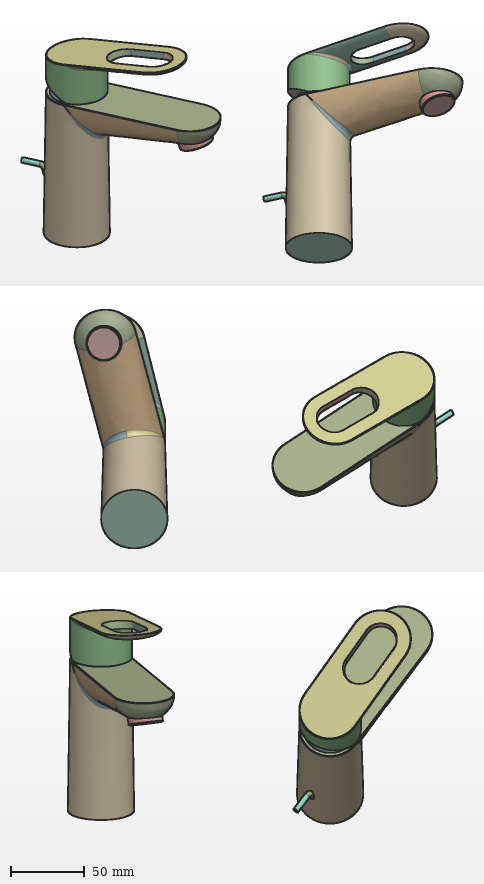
import cadquery as cq
import math

BASE_DIAMETER = 45.0
BASE_RADIUS = BASE_DIAMETER / 2
TOP_RADIUS = 21.0
DECK_Z = 107.0
SPOUT_TIP_CENTER_X = 84.8
SPOUT_ROOT_DEPTH = 28.0
SPOUT_TIP_DEPTH = 17.5
SPOUT_FILLET = 3.7
EDGE_CHAMFER = 0.5

AERATOR_RADIUS = 11.8
AERATOR_LENGTH = 8.1
AERATOR_CHAMFER = 0.7
AERATOR_TILT = 20.0
AERATOR_FACE_X = 90.0
AERATOR_FACE_Z = 87.6

HANDLE_TOP_Z = 137.8
HANDLE_TILT = 7.1
CAP_GAP = 1.2
CAP_BOTTOM_Z = DECK_Z + CAP_GAP
CAP_REAR_Z = 119.5
CAP_RELIEF_START_X = 2.0
LEVER_TIP_CENTER = 59.7
LEVER_DEPTH = 5.2
LEVER_FILLET = 2.2
SLOT_CENTER = 47.5
SLOT_LENGTH = 47.3
SLOT_WIDTH = 22.7
SLOT_DRAFT = 8.0
BALL_RADIUS = 19.8
BALL_DROP = 7.5

ROD_DIAMETER = 4.0
ROD_RADIUS = ROD_DIAMETER / 2
ROD_Z = 45.8
ROD_END_X = -40.8
ROD_BEND_X = -27.3
ROD_BEND_DIAMETER = 7.0
ROD_BEND_RADIUS = ROD_BEND_DIAMETER / 2
ROD_LEG_TILT = 18.0
ROD_LEG_LENGTH = 26.6

BOX_SIZE = 295.4
SEAM_MARGIN = 1.5


def half_ellipse(x, half_width, depth):
    """Wire in a plane of constant x: a flat top at z = 0 and an elliptic belly below."""
    flat = cq.Edge.makeLine(cq.Vector(x, half_width, 0), cq.Vector(x, -half_width, 0))
    belly_plane = cq.Plane(origin=(x, 0, 0), xDir=(0, 1, 0), normal=(-1, 0, 0))
    belly = cq.Workplane(belly_plane).ellipseArc(
        half_width, depth, 0, 180, startAtCurrent=False
    )
    return cq.Wire.assembleEdges([flat, belly.val()])


def bellied_arm(length, half_width, root_depth, tip_depth):
    """Arm along +X with a flat top at z = 0, an elliptic belly and a rounded tip."""
    root = half_ellipse(0, half_width, root_depth)
    end = half_ellipse(length, half_width, tip_depth)
    beam = cq.Workplane(cq.Solid.makeLoft([root, end], True))
    quarter_ball = (
        cq.Workplane("XY")
        .moveTo(0, -half_width)
        .threePointArc((half_width, 0), (0, half_width))
        .close()
        .revolve(90, (0, 0), (0, 1))
    )
    flatten = cq.Matrix([[1, 0, 0, length], [0, 1, 0, 0], [0, 0, tip_depth / half_width, 0]])
    tip = quarter_ball.val().transformGeometry(flatten)
    return beam.union(cq.Workplane(tip))


def beveled_top(length):
    """Thin stadium plate with its upper edge beveled, covering an arm and its column."""
    outline = cq.Workplane("XY").center(length / 2, 0).slot2D(length + 2 * TOP_RADIUS, 2 * TOP_RADIUS)
    return outline.extrude(EDGE_CHAMFER, taper=45)


def make_rod():
    turn = math.radians(90 - ROD_LEG_TILT)
    half_turn = turn / 2
    bend_center_z = ROD_Z - ROD_BEND_RADIUS

    def bend_point(angle):
        return (
            ROD_BEND_X + ROD_BEND_RADIUS * math.sin(angle),
            bend_center_z + ROD_BEND_RADIUS * math.cos(angle),
        )

    leg_x, leg_z = bend_point(turn)
    path = (
        cq.Workplane("XZ")
        .moveTo(ROD_END_X, ROD_Z)
        .lineTo(ROD_BEND_X, ROD_Z)
        .threePointArc(bend_point(half_turn), (leg_x, leg_z))
        .lineTo(leg_x + ROD_LEG_LENGTH * math.cos(turn), leg_z - ROD_LEG_LENGTH * math.sin(turn))
    )
    return cq.Workplane("YZ", origin=(ROD_END_X, 0, ROD_Z)).circle(ROD_RADIUS).sweep(path)


def make_aerator():
    tilt = math.radians(AERATOR_TILT)
    axis = (-math.sin(tilt), 0, math.cos(tilt))
    face = cq.Plane(origin=(AERATOR_FACE_X, 0, AERATOR_FACE_Z), xDir=(0, 1, 0), normal=axis)
    outlet = cq.Workplane(face).circle(AERATOR_RADIUS).extrude(AERATOR_LENGTH)
    outer_face = cq.selectors.DirectionMinMaxSelector(cq.Vector(axis), False)
    return outlet.faces(outer_face).chamfer(AERATOR_CHAMFER)


def make_housing(rod):
    shoulder_z = DECK_Z - EDGE_CHAMFER
    column = cq.Workplane(cq.Solid.makeCone(BASE_RADIUS, TOP_RADIUS, shoulder_z))
    spout = bellied_arm(SPOUT_TIP_CENTER_X, TOP_RADIUS, SPOUT_ROOT_DEPTH, SPOUT_TIP_DEPTH)
    housing = column.union(spout.translate((0, 0, shoulder_z)))
    seam_box = cq.selectors.BoxSelector(
        (SEAM_MARGIN, -BASE_RADIUS, DECK_Z / 2), (BASE_RADIUS, BASE_RADIUS, DECK_Z - SEAM_MARGIN)
    )
    housing = housing.edges(seam_box).fillet(SPOUT_FILLET)
    deck = beveled_top(SPOUT_TIP_CENTER_X).translate((0, 0, shoulder_z))
    return housing.union(deck).union(make_aerator()).cut(rod)


def tilt_to_handle_top(shape):
    """Move a shape from z = 0 onto the inclined top plane of the handle."""
    return shape.rotate((0, 0, 0), (0, 1, 0), -HANDLE_TILT).translate((0, 0, HANDLE_TOP_Z))


def make_handle():
    tilt = math.radians(HANDLE_TILT)
    shoulder_z = HANDLE_TOP_Z - EDGE_CHAMFER / math.cos(tilt)
    rise = math.tan(tilt) * TOP_RADIUS
    cap_side = (
        cq.Workplane("XZ")
        .moveTo(-TOP_RADIUS, CAP_REAR_Z)
        .lineTo(CAP_RELIEF_START_X, CAP_BOTTOM_Z)
        .lineTo(TOP_RADIUS, CAP_BOTTOM_Z)
        .lineTo(TOP_RADIUS, shoulder_z + rise)
        .lineTo(-TOP_RADIUS, shoulder_z - rise)
        .close()
        .extrude(TOP_RADIUS, both=True)
    )
    cap = cq.Workplane("XY").circle(TOP_RADIUS).extrude(HANDLE_TOP_Z + rise).intersect(cap_side)
    lever = bellied_arm(LEVER_TIP_CENTER, TOP_RADIUS, LEVER_DEPTH, LEVER_DEPTH)
    handle = cap.union(tilt_to_handle_top(lever.translate((0, 0, -EDGE_CHAMFER))))
    seam_box = cq.selectors.BoxSelector(
        (SEAM_MARGIN, -TOP_RADIUS, CAP_REAR_Z), (TOP_RADIUS, TOP_RADIUS, HANDLE_TOP_Z - SEAM_MARGIN)
    )
    handle = handle.edges(seam_box).fillet(LEVER_FILLET)
    top = beveled_top(LEVER_TIP_CENTER).translate((0, 0, -EDGE_CHAMFER))
    handle = handle.union(tilt_to_handle_top(top))

    slot = cq.Workplane("XY").center(SLOT_CENTER, 0).slot2D(SLOT_LENGTH, SLOT_WIDTH)
    slot = slot.extrude(-2 * LEVER_DEPTH, taper=SLOT_DRAFT)
    handle = handle.cut(tilt_to_handle_top(slot))

    ball = cq.Workplane("XY").sphere(BALL_RADIUS).translate((0, 0, DECK_Z - BALL_DROP))
    above_deck = cq.Workplane("XY", origin=(0, 0, DECK_Z)).rect(BOX_SIZE, BOX_SIZE).extrude(BOX_SIZE)
    return handle.union(ball.intersect(above_deck))


pull_rod = make_rod()
housing = make_housing(pull_rod)
handle = make_handle()

result = cq.Compound.makeCompound([housing.val(), handle.val(), pull_rod.val()])